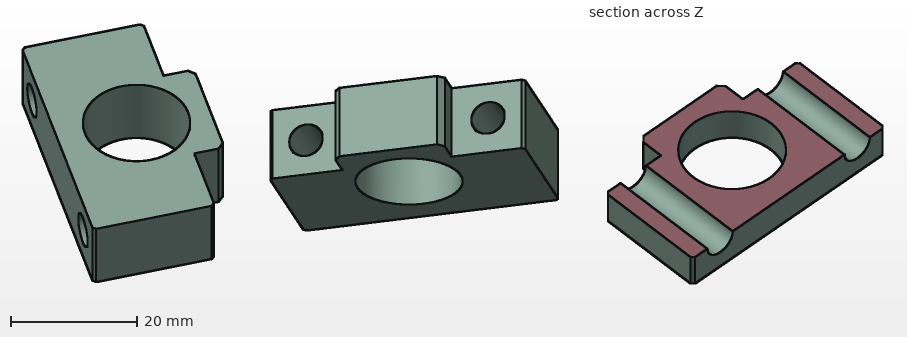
import cadquery as cq

length = 42.0
block_depth = 20.0
height = 12.0
block_chamfer = 0.5

total_depth = 25.0
tab_width = 18.0
tab_chamfer = 1.0

bore_diameter = 17.0
bore_center_y = 13.0

mount_hole_diameter = 5.5
mount_hole_spacing = 30.0


def chamfered_plate(width, depth, corners, chamfer):
    """Plate with its front edge on the X axis and the chosen vertical edges chamfered."""
    plate = cq.Workplane("XY").box(width, depth, height, centered=(True, False, False))
    return plate.edges(corners).chamfer(chamfer)


block = chamfered_plate(length, block_depth, "|Z", block_chamfer)
tab = chamfered_plate(tab_width, total_depth, "|Z and >Y", tab_chamfer)

bore = (
    cq.Workplane("XY")
    .center(0, bore_center_y)
    .circle(bore_diameter / 2)
    .extrude(height)
)

mount_holes = (
    cq.Workplane("XZ")
    .pushPoints([(side * mount_hole_spacing / 2, height / 2) for side in (-1, 1)])
    .circle(mount_hole_diameter / 2)
    .extrude(-block_depth)
)

result = block.union(tab).cut(bore).cut(mount_holes)